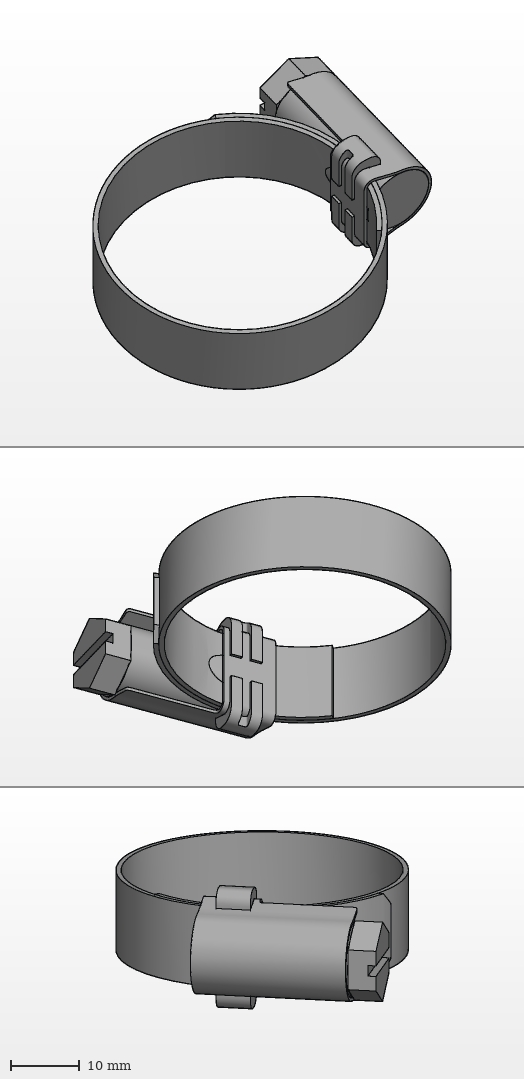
import cadquery as cq
import math

band_outer_radius = 21.3
band_thickness = 0.78
band_width = 12.1
layer_gap = 0.02
inner_end_angle = 50.5
outer_end_angle = 159.0
lap_start_angle = 150.0
lap_end_angle = 0.0
end_corner_cut = 2.0
lap_span = math.radians(lap_start_angle - lap_end_angle)
lap_shift = (band_thickness + layer_gap) / (1 - math.cos(lap_span))

axis_y = 25.02
head_start_x = -22.53
head_length = 4.15
head_across_flats = 10.4
slot_width = 1.6
slot_depth = 1.2
shaft_radius = 5.45

sheet_thickness = 0.5
shaft_clearance = 0.05
shell_radius = shaft_radius + shaft_clearance + sheet_thickness
housing_start_x = -18.15
housing_end_x = 4.85
closed_start_x = -3.6
floor_y = 18.95
arm_edge_y = 21.45
roof_end_y = 25.74
bend_end_y = 23.98
flare_angle = 16.0
floor_bend_radius = 1.53
arm_corner_radius = 0.5
closed_corner_radius = 0.5

saddle_start_x = -2.65
saddle_end_x = 2.45
saddle_bottom_y = 18.5
saddle_top_y = 23.6
saddle_width = 18.0
hook_corner_radius = 2.1
finger_end_z = 1.85
finger_slot_width = 1.5
finger_slot_corner_radius = 0.38
finger_slot_top_y = 20.1
window_bottom_y = 21.6


def polar(radius, angle, centre=(0.0, 0.0)):
    """Point at an angle in degrees on a circle."""
    turn = math.radians(angle)
    return (centre[0] + radius * math.cos(turn), centre[1] + radius * math.sin(turn))


def make_band_blank():
    """The rolled strip before the screw bites into it."""
    ring_outer = band_outer_radius
    ring_inner = ring_outer - band_thickness
    ring_middle_angle = (lap_start_angle + 360 + lap_end_angle) / 2
    inner_middle_angle = (lap_start_angle + inner_end_angle) / 2
    outer_middle_angle = (outer_end_angle + lap_end_angle) / 2
    layer_outer = ring_outer - lap_shift
    layer_inner = ring_inner - lap_shift
    lap_outer = layer_outer + band_thickness + layer_gap
    lap_inner = layer_inner + band_thickness + layer_gap
    lap_centre = polar(lap_shift, lap_start_angle)

    def lap_point(radius, angle):
        return polar(radius, angle, lap_centre)

    strip = (
        cq.Workplane("XY", origin=(0, 0, -band_width / 2))
        .moveTo(*lap_point(lap_outer, outer_end_angle))
        .threePointArc(lap_point(lap_outer, outer_middle_angle), polar(ring_outer, lap_end_angle))
        .threePointArc(polar(ring_outer, ring_middle_angle), polar(ring_outer, lap_start_angle))
        .threePointArc(
            lap_point(layer_outer, inner_middle_angle), lap_point(layer_outer, inner_end_angle)
        )
        .lineTo(*lap_point(layer_inner, inner_end_angle))
        .threePointArc(
            lap_point(layer_inner, inner_middle_angle), polar(ring_inner, lap_start_angle)
        )
        .threePointArc(polar(ring_inner, ring_middle_angle), polar(ring_inner, lap_end_angle))
        .threePointArc(
            lap_point(lap_inner, outer_middle_angle), lap_point(lap_inner, outer_end_angle)
        )
        .close()
        .extrude(band_width)
    )
    end_x, end_y = lap_point((lap_inner + lap_outer) / 2, outer_end_angle)
    for side in (-1, 1):
        corner = cq.selectors.NearestToPointSelector((end_x, end_y, side * band_width / 2))
        strip = strip.edges(corner).chamfer(end_corner_cut)
    return strip


def make_screw():
    """Plain shaft with a slotted hexagonal head, two of its flats facing +Y and -Y."""
    head_across_corners = head_across_flats / math.cos(math.radians(30))
    shaft_start_x = head_start_x + head_length
    head = (
        cq.Workplane("YZ", origin=(head_start_x, axis_y, 0))
        .transformed(rotate=(0, 0, 90))
        .polygon(6, head_across_corners)
        .extrude(head_length)
    )
    slot = cq.Workplane("XY", origin=(head_start_x, axis_y, 0)).box(
        2 * slot_depth, 2 * head_across_flats, slot_width
    )
    shaft = (
        cq.Workplane("YZ", origin=(shaft_start_x, axis_y, 0))
        .circle(shaft_radius)
        .extrude(housing_end_x - shaft_start_x)
    )
    return head.cut(slot).union(shaft)


def housing_section():
    """Outer outline of the closed end: round roof, flared arms and a flat floor."""
    flare = math.radians(flare_angle)
    roof_end_z = math.sqrt(shell_radius**2 - (roof_end_y - axis_y) ** 2)
    roof_slope = math.asin((roof_end_y - axis_y) / shell_radius)
    bend_radius = (roof_end_y - bend_end_y) / (math.sin(flare) - math.sin(roof_slope))
    bend_end_z = roof_end_z + bend_radius * (math.cos(roof_slope) - math.cos(flare))
    middle_slope = (roof_slope + flare) / 2
    bend_middle_y = roof_end_y - bend_radius * (math.sin(middle_slope) - math.sin(roof_slope))
    bend_middle_z = roof_end_z + bend_radius * (math.cos(roof_slope) - math.cos(middle_slope))
    corner_y = floor_y + floor_bend_radius
    arm_end_y = corner_y + floor_bend_radius * math.sin(flare)
    arm_end_z = bend_end_z + (bend_end_y - arm_end_y) * math.tan(flare)
    corner_z = arm_end_z - floor_bend_radius * math.cos(flare)
    corner_middle = (flare - math.pi / 2) / 2
    corner_middle_y = corner_y + floor_bend_radius * math.sin(corner_middle)
    corner_middle_z = corner_z + floor_bend_radius * math.cos(corner_middle)
    return (
        cq.Workplane("YZ", origin=(housing_start_x, 0, 0))
        .moveTo(roof_end_y, -roof_end_z)
        .threePointArc((axis_y + shell_radius, 0), (roof_end_y, roof_end_z))
        .threePointArc((bend_middle_y, bend_middle_z), (bend_end_y, bend_end_z))
        .lineTo(arm_end_y, arm_end_z)
        .threePointArc((corner_middle_y, corner_middle_z), (floor_y, corner_z))
        .lineTo(floor_y, -corner_z)
        .threePointArc((corner_middle_y, -corner_middle_z), (arm_end_y, -arm_end_z))
        .lineTo(bend_end_y, -bend_end_z)
        .threePointArc((bend_middle_y, -bend_middle_z), (roof_end_y, -roof_end_z))
        .close()
    )


def make_housing_envelope():
    """The housing as if it were filled solid."""
    return housing_section().extrude(housing_end_x - housing_start_x)


def make_housing():
    """Sheet shell, open below the arms except at its +X end, with a window in each wall."""
    cavity = housing_section().offset2D(-sheet_thickness).extrude(housing_end_x - housing_start_x)
    open_length = closed_start_x - housing_start_x
    open_height = arm_edge_y - floor_y
    opening = (
        cq.Workplane("XY", origin=(housing_start_x, floor_y, 0))
        .rect(open_length, open_height, centered=False)
        .extrude(saddle_width / 2, both=True)
        .edges("|Z and >X and >Y")
        .fillet(closed_corner_radius)
    )
    shell = make_housing_envelope().cut(cavity).cut(opening)
    shell = shell.edges("|Z and <X").fillet(arm_corner_radius)
    windows = (
        cq.Workplane("XY")
        .moveTo(saddle_start_x, window_bottom_y)
        .rect(saddle_end_x - saddle_start_x, saddle_top_y - window_bottom_y, centered=False)
        .extrude(saddle_width / 2, both=True)
    )
    return shell.cut(windows)


def make_saddle(band, screw, housing):
    """Rounded block cleared for the other bodies, with forked hooks outside the housing."""
    length = saddle_end_x - saddle_start_x
    middle_x = (saddle_start_x + saddle_end_x) / 2
    middle_y = (saddle_bottom_y + saddle_top_y) / 2
    block = (
        cq.Workplane("YZ", origin=(saddle_start_x, middle_y, 0))
        .rect(saddle_top_y - saddle_bottom_y, saddle_width)
        .extrude(length)
        .edges("|X")
        .fillet(hook_corner_radius)
    )
    finger_thickness = floor_y - saddle_bottom_y
    finger_space = (
        cq.Workplane("XY")
        .box(length, finger_thickness, 2 * finger_end_z)
        .translate((middle_x, saddle_bottom_y + finger_thickness / 2, 0))
    )
    fork_slot = (
        cq.Workplane("XY")
        .moveTo(middle_x, (saddle_bottom_y + finger_slot_top_y) / 2)
        .rect(finger_slot_width, finger_slot_top_y - saddle_bottom_y)
        .extrude(saddle_width / 2, both=True)
        .edges("|Z and >Y")
        .fillet(finger_slot_corner_radius)
        .cut(make_housing_envelope())
    )
    saddle = block.cut(finger_space).cut(fork_slot)
    return saddle.cut(housing).cut(screw).cut(band)


screw = make_screw()
housing = make_housing()
band = make_band_blank().cut(screw).cut(housing)
saddle = make_saddle(band, screw, housing)

bodies = (band, screw, housing, saddle)
result = cq.Compound.makeCompound([solid for body in bodies for solid in body.solids().vals()])